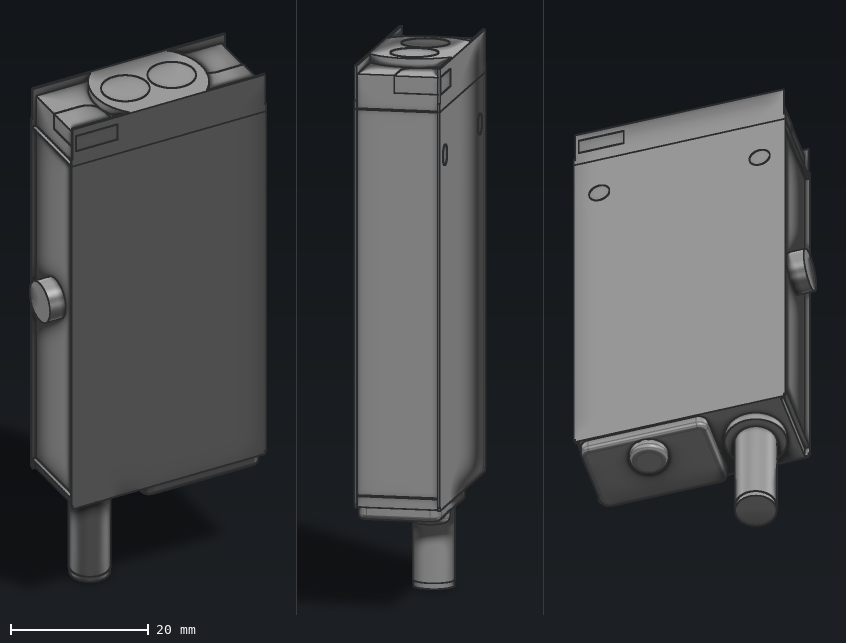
import cadquery as cq

width = 12.7
plate_thickness = 0.3
plate_depth = 32.05
end_plate_depth = 31.65
plate_overhang = 0.7
core_width = width - 2 * plate_thickness
core_depth = plate_depth - 2 * plate_overhang
body_height = 65.3
seam_z = 59.0
base_z = 1.8
plate_step_bottom = 0.5
plate_step_top = 60.2
ledge_thickness = 0.1

head_radius = 8.8
head_height = 1.3
shoulder_z = body_height - head_height
lens_diameter = 7.1
lens_spacing = 7.65
mark_depth = 0.1

window_edge_x = -0.6
window_edge_y = -8.5
window_height = 2.6
window_corner_radius = 2.6

screw_diameter = 3.1
screw_spacing = 24.3
screw_z = 52.0

button_diameter = 6.35
button_height = 1.9
button_z = 32.7

cover_width = 12.2
cover_depth = 19.2
cover_height = 1.9
cover_y = 5.8
cover_corner_radius = 1.4
cover_edge_radius = 0.7
knob_diameter = 5.7
knob_height = 1.8
knob_edge_radius = 0.9
knob_x = -2.8
knob_y = 5.7
flange_diameter = 9.0
flange_height = 1.4

cable_diameter = 6.2
cable_y = -9.7
total_height = 81.3
cable_length = total_height - body_height - flange_height
cable_tip_length = 0.9
cable_tip_inset = 0.1


def block(size_x, size_y, bottom, top):
    """Box centred on the Z axis, between two heights."""
    base = cq.Workplane("XY", origin=(0, 0, bottom))
    return base.box(size_x, size_y, top - bottom, centered=(True, True, False))


def post(x, y, top, diameter, height):
    """Upright cylinder hanging down from its top face."""
    return cq.Workplane("XY", origin=(x, y, top - height)).circle(diameter / 2).extrude(height)


def both_ends(shape):
    """A shape at the -Y end together with its copy turned half a turn about Z."""
    return shape.union(shape.rotate((0, 0, 0), (0, 0, 1), 180))


def end_channels(bottom, top):
    """Spaces between the side plates at both ends of the core."""
    channel = block(core_width, plate_overhang, bottom, top)
    return both_ends(channel.translate((0, -(core_depth + plate_overhang) / 2, 0)))


def body_shell():
    """Whole height of the section, with ledges at the seam and at the base."""
    shell = block(width, end_plate_depth, 0, body_height)
    shell = shell.union(block(width, plate_depth, plate_step_bottom, plate_step_top))
    shell = shell.cut(end_channels(0, body_height))
    for ledge_top in (seam_z, base_z):
        shell = shell.union(end_channels(ledge_top - ledge_thickness, ledge_top))
    return shell


def head_recesses():
    """Space around the round head, between the side plates."""
    space = block(core_width, plate_depth, shoulder_z, body_height)
    return space.cut(post(0, 0, body_height, 2 * head_radius, head_height))


def window_marks():
    """Shallow recesses in the shoulder, the end face and the side plate that outline a window."""
    size_x = core_width / 2 - window_edge_x
    size_y = core_depth / 2 + window_edge_y
    center_x = window_edge_x + size_x / 2
    center_y = window_edge_y - size_y / 2
    window = block(size_x, size_y, shoulder_z - window_height, shoulder_z)
    window = window.edges("|Z and <X and >Y").fillet(window_corner_radius)
    window = window.translate((center_x, center_y, 0))
    shoulder_mark = block(width, plate_depth, shoulder_z - mark_depth, shoulder_z)
    shoulder_mark = shoulder_mark.intersect(window)
    shoulder_mark = shoulder_mark.cut(post(0, 0, body_height, 2 * head_radius, body_height))
    end_mark = block(size_x, mark_depth, shoulder_z - window_height, shoulder_z)
    end_mark = end_mark.translate((center_x, -(core_depth - mark_depth) / 2, 0))
    side_mark = block(mark_depth, size_y, shoulder_z - window_height, shoulder_z)
    side_mark = side_mark.translate(((width - mark_depth) / 2, center_y, 0))
    return both_ends(shoulder_mark.union(end_mark).union(side_mark))


def lens_marks():
    return both_ends(post(0, -lens_spacing / 2, body_height, lens_diameter, mark_depth))


def screw_marks():
    face = cq.Workplane("YZ", origin=(-width / 2, 0, screw_z))
    centers = [(-screw_spacing / 2, 0), (screw_spacing / 2, 0)]
    return face.pushPoints(centers).circle(screw_diameter / 2).extrude(mark_depth)


def button():
    face = cq.Workplane("XZ", origin=(0, -core_depth / 2, button_z))
    return face.circle(button_diameter / 2).extrude(plate_overhang + button_height)


def cover():
    plate = block(cover_width, cover_depth, -cover_height, 0).translate((0, cover_y, 0))
    plate = plate.edges("|Z").fillet(cover_corner_radius)
    plate = plate.faces("<Z").edges().fillet(cover_edge_radius)
    knob = post(knob_x, knob_y, -cover_height, knob_diameter, knob_height)
    knob = knob.faces("<Z").edges().fillet(knob_edge_radius)
    return plate.union(knob)


def cable():
    flange = post(0, cable_y, 0, flange_diameter, flange_height)
    cord = post(0, cable_y, -flange_height, cable_diameter, cable_length - cable_tip_length)
    tip_top = cable_tip_length + body_height - total_height
    tip = post(0, cable_y, tip_top, cable_diameter - 2 * cable_tip_inset, cable_tip_length)
    return flange.union(cord).union(tip)


def make_cap():
    cap = body_shell().intersect(block(width, plate_depth, seam_z, body_height))
    return cap.cut(head_recesses()).cut(window_marks()).cut(lens_marks())


def make_housing():
    housing = body_shell().intersect(block(width, plate_depth, 0, seam_z))
    return housing.cut(screw_marks()).union(button()).union(cover()).union(cable())


cap = make_cap()
housing = make_housing()
result = cq.Compound.makeCompound([cap.val(), housing.val()])